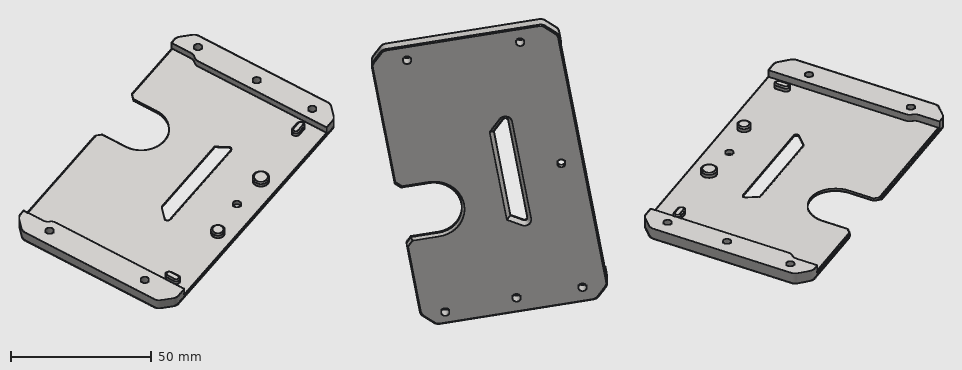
import cadquery as cq
import math

length_y = 110.7
width_x = 68.0
rail_height = 5.0
plate_thickness = 2.0
left = -width_x / 2
right = width_x / 2

corner_cut = 5.0
corner_round = 3.0
bottom_bevel = 0.4
notch_bevel = 1.0
window_bevel = 1.4
left_top_bevel = 0.4

rail_inner_y = 45.4
step_mid_x = -23.5
step_round = 3.0
step_slope = 45
step_half_length = step_round * math.sin(math.radians(step_slope))
rail_wide_y = rail_inner_y + 2 * step_round * (1 - math.cos(math.radians(step_slope)))

notch_center_x = -21.9
notch_center_y = 10
notch_radius = 10
notch_mouth_cut = 2.0

window_left = 4.4
window_right = 10.2
window_top = 17.8
window_bottom = -16.0
window_top_angle = 32
window_bottom_angle = 45
window_round = 1.0

hole_diameter = 3.0
hole_centers = [
    (-25.0, 50.8),
    (1.0, 49.7),
    (24.9, 49.7),
    (-21, -49.8),
    (19.9, -49.8),
    (26.0, 0),
]

pin_top = 4.0
pin_bevel = 0.5
round_pins = [(26.9, 14.0, 6.0), (27.9, -14.9, 5.0)]
oblong_pin_length = 6.0
oblong_pin_width = 3.0
oblong_pins = [(24.9, 40.7, 90), (26.6, -41.8, 0)]


def make_slab():
    """Full-height block with cut, rounded corners and a bevelled underside."""
    slab = cq.Workplane("XY").box(width_x, length_y, rail_height, centered=(True, True, False))
    slab = slab.edges("|Z").chamfer(corner_cut)
    slab = slab.edges("|Z").fillet(corner_round)
    return slab.faces("<Z").edges().chamfer(bottom_bevel)


def make_channel():
    """Space between the rails, above the plate; two arcs at each rail widen it near the left side."""
    mid_y = (rail_inner_y + rail_wide_y) / 2
    half_angle = math.radians(step_slope / 2)
    narrow_x = step_mid_x + step_half_length
    wide_x = step_mid_x - step_half_length
    arc_x = step_round * math.sin(half_angle)
    arc_y = step_round * (1 - math.cos(half_angle))
    half_channel = (
        cq.Workplane("XY", origin=(0, 0, plate_thickness))
        .moveTo(left, 0)
        .lineTo(left, rail_wide_y)
        .lineTo(wide_x, rail_wide_y)
        .threePointArc((wide_x + arc_x, rail_wide_y - arc_y), (step_mid_x, mid_y))
        .threePointArc((narrow_x - arc_x, rail_inner_y + arc_y), (narrow_x, rail_inner_y))
        .lineTo(right, rail_inner_y)
        .lineTo(right, 0)
        .close()
        .extrude(rail_height - plate_thickness)
    )
    return half_channel.union(half_channel.mirror("XZ"))


def make_left_bevel():
    """Wedge that bevels the upper left edge of the plate between the rails."""
    bevel_length = 2 * rail_wide_y
    return (
        cq.Workplane("XZ", origin=(0, bevel_length / 2, 0))
        .moveTo(left, plate_thickness - left_top_bevel)
        .lineTo(left + left_top_bevel, plate_thickness)
        .lineTo(left, plate_thickness)
        .close()
        .extrude(bevel_length)
    )


def make_notch():
    """Round-ended notch whose mouth opens out at the left side."""
    top_y = notch_center_y + notch_radius
    bottom_y = notch_center_y - notch_radius
    throat_x = left + notch_mouth_cut
    return (
        cq.Workplane("XY")
        .moveTo(left, top_y + notch_mouth_cut)
        .lineTo(throat_x, top_y)
        .lineTo(notch_center_x, top_y)
        .threePointArc((notch_center_x + notch_radius, notch_center_y), (notch_center_x, bottom_y))
        .lineTo(throat_x, bottom_y)
        .lineTo(left, bottom_y - notch_mouth_cut)
        .close()
        .extrude(rail_height)
    )


def make_window():
    """Long opening with slanted ends, rounded at its two right-hand corners."""
    window_width = window_right - window_left
    top_rise = window_width * math.tan(math.radians(window_top_angle))
    bottom_drop = window_width * math.tan(math.radians(window_bottom_angle))
    window = (
        cq.Workplane("XY")
        .moveTo(window_left, window_bottom)
        .lineTo(window_left, window_top)
        .lineTo(window_right, window_top + top_rise)
        .lineTo(window_right, window_bottom - bottom_drop)
        .close()
        .extrude(rail_height)
    )
    return window.edges("|Z and >X").fillet(window_round)


def make_holes():
    """All the small round through holes."""
    return cq.Workplane("XY").pushPoints(hole_centers).circle(hole_diameter / 2).extrude(rail_height)


def make_round_pin(x, y, diameter):
    """Round pin with a bevelled top."""
    pin = cq.Workplane("XY").center(x, y).circle(diameter / 2).extrude(pin_top)
    return pin.faces(">Z").edges().chamfer(pin_bevel)


def make_oblong_pin(x, y, rotation):
    """Slot-shaped pin with a bevelled top."""
    pin = (
        cq.Workplane("XY")
        .center(x, y)
        .slot2D(oblong_pin_length, oblong_pin_width, rotation)
        .extrude(pin_top)
    )
    return pin.faces(">Z").edges().chamfer(pin_bevel)


def bevel_opening(plate, min_x, max_x, bevel):
    """Bevel the underside of the opening whose edges are centred between min_x and max_x."""
    opening_edges = cq.selectors.BoxSelector(
        (min_x, -rail_inner_y, -bottom_bevel),
        (max_x, rail_inner_y, bottom_bevel),
    )
    return plate.faces("<Z").edges(opening_edges).chamfer(bevel)


between_openings_x = (notch_center_x + notch_radius + window_left) / 2
mouth_x = left + notch_mouth_cut / 2
beyond_window_x = window_right + window_round

result = make_slab().cut(make_notch()).cut(make_window())
result = bevel_opening(result, mouth_x, between_openings_x, notch_bevel)
result = bevel_opening(result, between_openings_x, beyond_window_x, window_bevel)
result = result.cut(make_channel()).cut(make_left_bevel()).cut(make_holes())
for pin_x, pin_y, pin_diameter in round_pins:
    result = result.union(make_round_pin(pin_x, pin_y, pin_diameter))
for pin_x, pin_y, pin_rotation in oblong_pins:
    result = result.union(make_oblong_pin(pin_x, pin_y, pin_rotation))